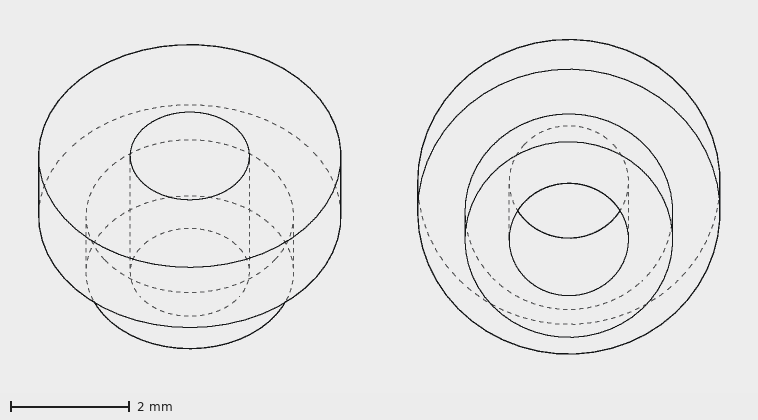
import cadquery as cq

flange_diameter = 5.1
flange_height = 1.5
spigot_diameter = 3.5
spigot_height = 1.4
bore_diameter = 2.01

total_height = spigot_height + flange_height


def cylinder(diameter, height, base_z=0.0):
    """Upright cylinder on the Z axis, starting at base_z."""
    return cq.Workplane("XY").workplane(offset=base_z).circle(diameter / 2).extrude(height)


spigot = cylinder(spigot_diameter, spigot_height)
flange = cylinder(flange_diameter, flange_height, base_z=spigot_height)
bore = cylinder(bore_diameter, total_height)

result = spigot.union(flange).cut(bore)